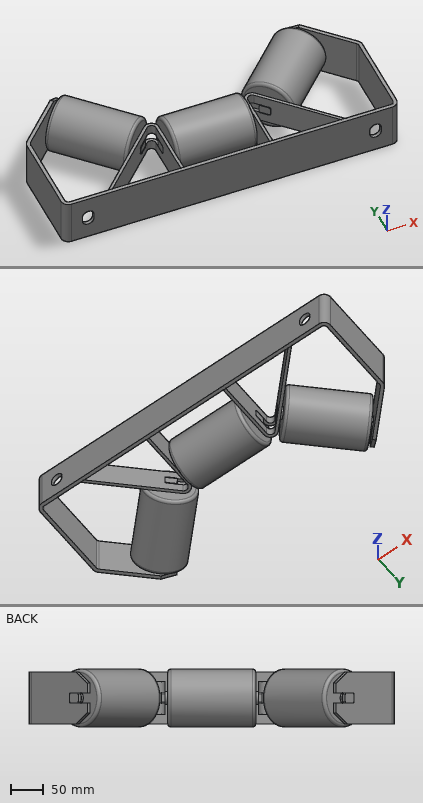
import cadquery as cq
import math

FRAME_WIDTH = 560.0
FRAME_HEIGHT = 80.0
FRAME_THICKNESS = 6.0
FRAME_BEND_RADIUS = 6.0
ARM_TIP_Y = 238.5
ARM_TIP_HEIGHT = 45.5
ARM_TAPER_LENGTH = 24.5

MOUNT_SLOT_LENGTH = 27.0
MOUNT_SLOT_WIDTH = 19.0
MOUNT_SLOT_SPACING = 479.5

BRACKET_HEIGHT = 50.0
BRACKET_THICKNESS = 5.0
BRACKET_BEND_RADIUS = 7.0

ROLLER_DIAMETER = 89.0
ROLLER_LENGTH = 135.0
ROLLER_ROUNDING = 5.0
SHAFT_DIAMETER = 20.0
SHAFT_END_HEIGHT = 15.5
SHAFT_END_WIDTH = 19.0
SHAFT_END_ROUNDING = 3.0
SUPPORT_SPAN = 143.5
SIDE_SHAFT_LENGTH = SUPPORT_SPAN + 2 * FRAME_THICKNESS
MIDDLE_SHAFT_LENGTH = SUPPORT_SPAN + 2 * BRACKET_THICKNESS

MIDDLE_ROLLER_Y = 99.0
SIDE_ROLLER_X = 156.0
SIDE_ROLLER_Y = 163.0

MIDDLE_PLANE = cq.Plane(origin=(0, MIDDLE_ROLLER_Y, 0))
RIGHT_PLANE = cq.Plane(origin=(SIDE_ROLLER_X, SIDE_ROLLER_Y, 0), xDir=(1, 1, 0))
LEFT_PLANE = cq.Plane(origin=(-SIDE_ROLLER_X, SIDE_ROLLER_Y, 0), xDir=(1, -1, 0))
ROLLERS = [
    (LEFT_PLANE, SIDE_SHAFT_LENGTH),
    (MIDDLE_PLANE, MIDDLE_SHAFT_LENGTH),
    (RIGHT_PLANE, SIDE_SHAFT_LENGTH),
]


def bent_strip(outer_points, thickness, inner_radius, height):
    """Bent strip centred on Z = 0, lying on the right-hand side of the path through its outer corners."""
    outer = [cq.Vector(*point) for point in outer_points]
    normals = []
    for start, end in zip(outer, outer[1:]):
        direction = (end - start).normalized()
        normals.append(cq.Vector(direction.y, -direction.x))

    inner = [outer[0] + normals[0] * thickness]
    for corner, before, after in zip(outer[1:], normals, normals[1:]):
        inner.append(corner + (before + after) * (thickness / (1 + before.dot(after))))
    inner.append(outer[-1] + normals[-1] * thickness)

    outline = [point.toTuple()[:2] for point in outer + inner[::-1]]
    strip = cq.Workplane("XY").polyline(outline).close().extrude(height / 2, both=True)
    for corners, radius in ((outer, inner_radius + thickness), (inner, inner_radius)):
        for corner in corners[1:-1]:
            bend_edge = cq.selectors.NearestToPointSelector(corner.toTuple())
            strip = strip.edges(bend_edge).fillet(radius)
    return strip


def round_bar(diameter, length):
    """Cylinder along X, centred on the origin."""
    return cq.Workplane("YZ", origin=(-length / 2, 0, 0)).circle(diameter / 2).extrude(length)


def make_shaft(length):
    """Shaft along X, round between the supports, with rounded-off rectangular ends that sit in them."""
    shaft = round_bar(SHAFT_DIAMETER, SUPPORT_SPAN)
    end_length = (length - SUPPORT_SPAN) / 2
    end = cq.Workplane("XY").box(end_length, SHAFT_END_WIDTH, SHAFT_END_HEIGHT)
    end = end.edges("|X").fillet(SHAFT_END_ROUNDING)
    for side in (-1, 1):
        shaft = shaft.union(end.translate((side * (SUPPORT_SPAN + end_length) / 2, 0, 0)))
    return shaft


def make_roller(shaft_length):
    """Roller along X, centred on the origin, with rounded rims and its shaft."""
    drum = round_bar(ROLLER_DIAMETER, ROLLER_LENGTH).edges().fillet(ROLLER_ROUNDING)
    return drum.union(make_shaft(shaft_length))


def placed(shape, plane):
    return cq.Workplane(shape.val().moved(cq.Location(plane)))


def arm_point(local_x, local_y):
    """Position in X and Y of a point in the right roller's local plane."""
    return RIGHT_PLANE.toWorldCoords((local_x, local_y, 0)).toTuple()[:2]


def make_frame():
    face_x, face_y = arm_point(SIDE_SHAFT_LENGTH / 2, 0)
    arm_sum = face_x + face_y
    side_x = FRAME_WIDTH / 2
    tip = (arm_sum - ARM_TIP_Y, ARM_TIP_Y)
    right_side = [tip, (side_x, arm_sum - side_x), (side_x, 0)]
    left_side = [(-x, y) for x, y in reversed(right_side)]
    frame = bent_strip(right_side + left_side, FRAME_THICKNESS, FRAME_BEND_RADIUS, FRAME_HEIGHT)

    right_cutter = arm_cutter((ARM_TIP_Y - face_y) * math.sqrt(2))
    frame = frame.cut(right_cutter).cut(right_cutter.mirror("YZ"))

    mount_slots = (
        cq.Workplane("XZ")
        .pushPoints([(-MOUNT_SLOT_SPACING / 2, 0), (MOUNT_SLOT_SPACING / 2, 0)])
        .slot2D(MOUNT_SLOT_LENGTH, MOUNT_SLOT_WIDTH, angle=90)
        .extrude(-FRAME_THICKNESS)
    )
    return frame.cut(mount_slots)


def arm_cutter(tip_y):
    """Tapers the right arm's tip, at local height tip_y, and opens the shaft slot through it."""
    arm_face = cq.Plane(
        origin=RIGHT_PLANE.toWorldCoords((SUPPORT_SPAN / 2, 0, 0)),
        xDir=RIGHT_PLANE.yDir,
        normal=RIGHT_PLANE.xDir,
    )
    slot = (
        cq.Workplane(arm_face)
        .center(tip_y / 2, 0)
        .rect(tip_y, SHAFT_END_HEIGHT)
        .extrude(FRAME_THICKNESS)
    )
    taper = (
        cq.Workplane(arm_face)
        .moveTo(tip_y, ARM_TIP_HEIGHT / 2)
        .lineTo(tip_y, FRAME_HEIGHT / 2)
        .lineTo(tip_y - ARM_TAPER_LENGTH, FRAME_HEIGHT / 2)
        .close()
        .extrude(FRAME_THICKNESS)
    )
    shaft = placed(make_shaft(SIDE_SHAFT_LENGTH), RIGHT_PLANE)
    return slot.union(taper).union(taper.mirror("XY")).union(shaft)


def make_right_bracket():
    upright_x = SUPPORT_SPAN / 2
    upright_seat = (upright_x, MIDDLE_ROLLER_Y)
    sloped_seat = arm_point(-SUPPORT_SPAN / 2, 0)
    leg_sum = sum(sloped_seat)
    apex = (upright_x, leg_sum - upright_x)
    foot_y = FRAME_THICKNESS + BRACKET_THICKNESS / math.sqrt(2)
    outer_points = [(upright_x, FRAME_THICKNESS), apex, (leg_sum - foot_y, foot_y)]
    bracket = bent_strip(outer_points, BRACKET_THICKNESS, BRACKET_BEND_RADIUS, BRACKET_HEIGHT)

    upright_inside = (upright_x + BRACKET_THICKNESS, MIDDLE_ROLLER_Y)
    sloped_inside = arm_point(-SUPPORT_SPAN / 2 - BRACKET_THICKNESS, 0)
    slot = (
        cq.Workplane("XY")
        .polyline([upright_seat, upright_inside, sloped_inside, sloped_seat, apex])
        .close()
        .extrude(SHAFT_END_HEIGHT / 2, both=True)
    )
    bracket = bracket.cut(slot)
    middle_shaft = placed(make_shaft(MIDDLE_SHAFT_LENGTH), MIDDLE_PLANE)
    right_shaft = placed(make_shaft(SIDE_SHAFT_LENGTH), RIGHT_PLANE)
    return bracket.cut(middle_shaft).cut(right_shaft)


frame = make_frame()
right_bracket = make_right_bracket()
brackets = [right_bracket.mirror("YZ"), right_bracket]
rollers = [placed(make_roller(length), plane) for plane, length in ROLLERS]

result = cq.Compound.makeCompound([body.val() for body in [frame, *brackets, *rollers]])